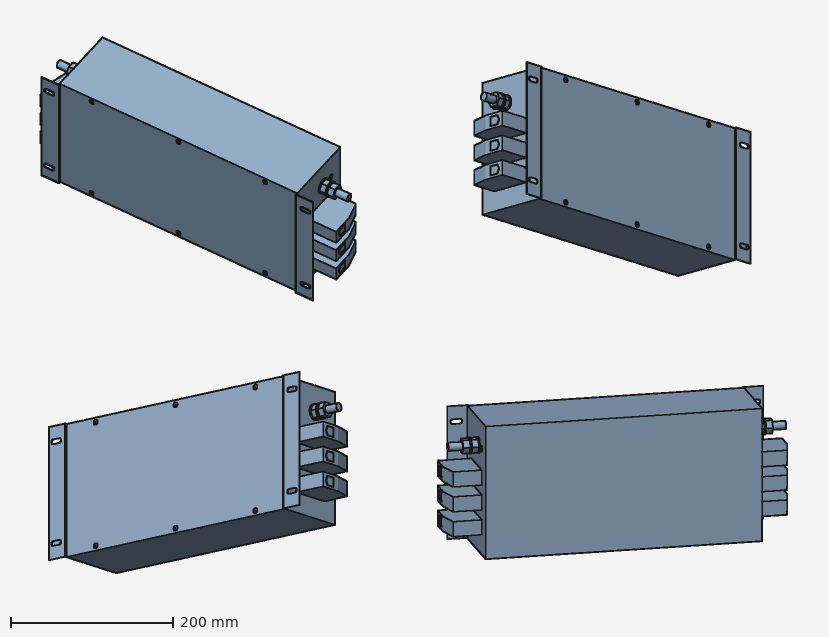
import cadquery as cq


overall_length = 436.0
case_length = 350.0
case_height = 170.0
case_depth = 100.0
sheet = 1.0
cover_recess = 3.0

flange_span = 400.2
slot_length = 15.0
slot_width = 6.0
slot_spacing_x = 377.0
slot_spacing_z = 130.0

screw_slot_width = 1.0
screw_slot_depth = 0.65
cover_screw_diameter = 6.5
cover_screw_height = 1.5
cover_screw_slot_angle = -45
cover_screw_spacing_x = 127.7
cover_screw_spacing_z = 158.0

terminal_height = 19.0
terminal_pitch = 32.0
terminal_middle_z = -18.0
terminal_front = 25.0
terminal_back = 79.5
terminal_slant_start = 53.5
terminal_slant = 6.5
window_front = 31.0
window_shoulder = 34.0
window_back = 45.5
window_height = 11.8
window_depth = 1.0

gland_y = 60.5
gland_z = 50.5
nut_corner_diameter = 19.5
nut_length = 8.7
collar_diameter = 20.5
collar_length = 2.0
base_collar_length = 1.5
cable_diameter = 10.5
cable_end_x = 213.5
earth_y = 78.5
earth_diameter = 8.0
earth_height = 1.0
earth_slot_angle = 90

case_end_x = case_length / 2
terminal_end_x = overall_length / 2
terminal_levels = [terminal_middle_z + row * terminal_pitch for row in (-1, 0, 1)]


def both_ends(solid):
    """Join a solid on the +X end with its mirror image on the -X end."""
    return solid.union(solid.mirror("YZ"))


def end_plane(x, y, z):
    """Plane facing +X whose local x is the part's Y and local y is Z."""
    return cq.Workplane(cq.Plane(origin=(x, y, z), xDir=(0, 1, 0), normal=(1, 0, 0)))


def front_plane(y):
    """Plane facing -Y whose local x is the part's X and local y is Z."""
    return cq.Workplane("XZ", origin=(0, y, 0))


def make_case():
    body = (
        front_plane(case_depth)
        .rect(case_length, case_height)
        .extrude(case_depth)
    )
    recess = (
        front_plane(cover_recess)
        .rect(case_length - 2 * sheet, case_height)
        .extrude(cover_recess)
    )
    return body.cut(recess)


def make_flange():
    width = flange_span / 2 - case_end_x + sheet
    flange = (
        front_plane(sheet)
        .center(flange_span / 2 - width / 2, 0)
        .rect(width, case_height)
        .extrude(sheet)
    )
    slots = (
        front_plane(sheet)
        .center(slot_spacing_x / 2, 0)
        .rarray(4.5, slot_spacing_z, 1, 2)
        .slot2D(slot_length, slot_width)
        .extrude(sheet)
    )
    return flange.cut(slots)


def make_screw(seat, diameter, height, slot_angle):
    """Domed screw head on the seat workplane; the slot is turned by slot_angle degrees."""
    radius = diameter / 2
    dome_radius = (radius**2 + height**2) / (2 * height)
    dome = seat.workplane(offset=height - dome_radius).sphere(dome_radius)
    head = seat.circle(radius).extrude(height).intersect(dome)
    slot = (
        seat.workplane(offset=height - screw_slot_depth)
        .transformed(rotate=(0, 0, slot_angle))
        .rect(diameter, screw_slot_width)
        .extrude(screw_slot_depth)
    )
    return head.cut(slot)


def make_cover_screw(column, row):
    seat = front_plane(cover_recess).center(
        column * cover_screw_spacing_x, row * cover_screw_spacing_z / 2
    )
    return make_screw(seat, cover_screw_diameter, cover_screw_height, cover_screw_slot_angle)


def make_terminal(z):
    outline = [
        (case_end_x, terminal_front),
        (terminal_end_x, terminal_front),
        (terminal_end_x, terminal_slant_start),
        (terminal_end_x - terminal_slant, terminal_back),
        (case_end_x, terminal_back),
    ]
    block = (
        cq.Workplane("XY", origin=(0, 0, z - terminal_height / 2))
        .polyline(outline)
        .close()
        .extrude(terminal_height)
    )
    window_outline = [
        (window_back, window_height / 2),
        (window_shoulder, window_height / 2),
        (window_front, 0),
        (window_shoulder, -window_height / 2),
        (window_back, -window_height / 2),
    ]
    window = (
        end_plane(terminal_end_x, 0, z)
        .polyline(window_outline)
        .close()
        .extrude(-window_depth)
    )
    return block.cut(window)


def make_gland():
    """Stack of round collars and hexagon nuts with the cable stub through it."""
    seat = end_plane(case_end_x, gland_y, gland_z)
    base_collar = seat.circle(collar_diameter / 2).extrude(base_collar_length)
    inner_nut = base_collar.faces(">X").workplane().polygon(6, nut_corner_diameter).extrude(nut_length)
    collar = inner_nut.faces(">X").workplane().circle(collar_diameter / 2).extrude(collar_length)
    outer_nut = collar.faces(">X").workplane().polygon(6, nut_corner_diameter).extrude(nut_length)
    cable = seat.circle(cable_diameter / 2).extrude(cable_end_x - case_end_x)
    return outer_nut.union(cable)


def make_earth_screw():
    seat = end_plane(case_end_x, earth_y, gland_z)
    return make_screw(seat, earth_diameter, earth_height, earth_slot_angle)


result = make_case()
for column in (-1, 0, 1):
    for row in (-1, 1):
        result = result.union(make_cover_screw(column, row))
result = result.union(both_ends(make_flange()))
for level in terminal_levels:
    result = result.union(both_ends(make_terminal(level)))
result = result.union(both_ends(make_gland()))
result = result.union(both_ends(make_earth_screw()))